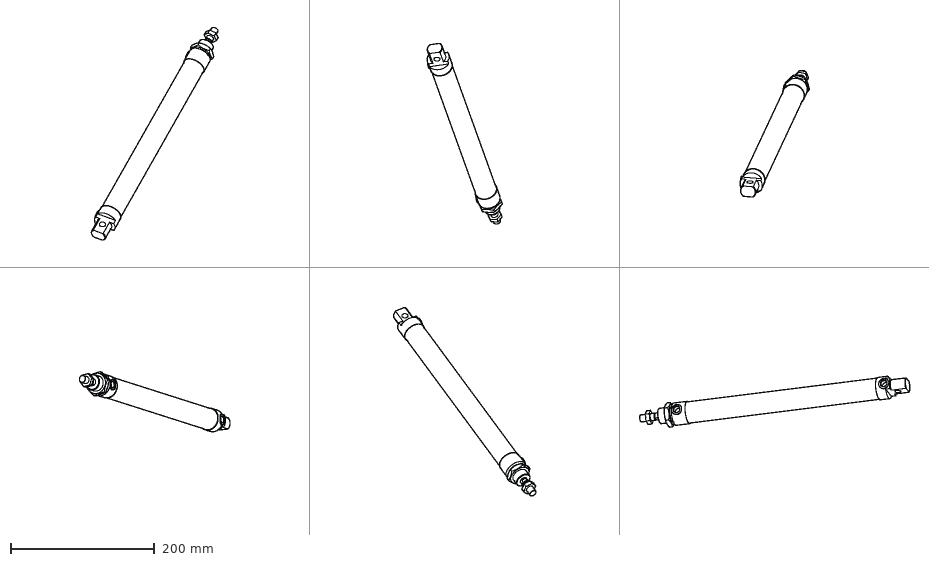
import cadquery as cq
import math


rod_tip_y = 390.0
thread_end_y = 369.0
collar_front_y = 362.0
front_cap_y = 340.0
barrel_front_y = 320.0
barrel_rear_y = 42.0
cap_flat_y = 28.0
rear_cap_y = 22.0

cap_dia = 31.5
barrel_dia = 30.0
collar_dia = 22.0
collar_chamfer = 0.8

eye_thickness = 16.0
eye_end_chamfer = 0.8
pin_hole_dia = 8.0
pin_hole_y = 14.5

port_boss_dia = 15.0
port_mouth_dia = 10.0
port_dia = 8.5
port_depth = 7.8
port_ys = (332.3, 30.0)

rod_dia = 10.0
rod_tip_chamfer = 0.5
groove_dia = 8.5
groove_length = 1.0
rod_flat_width = 8.0
rod_flat_turn = 8.5
flat_rear_y = 363.5
rod_socket_depth = 19.5

rod_nut_width = 16.8
rod_nut_turn = rod_flat_turn
rod_nut_rear_y = 374.5
rod_nut_thickness = 6.0
mount_nut_width = 30.0
mount_nut_face_dia = 29.0
mount_nut_turn = 12.5
mount_nut_chamfer_angle = 30.0
mount_nut_rear_y = 343.5
mount_nut_thickness = 7.5


def cylinder(diameter, y_start, y_end):
    """Cylinder on the Y axis between two stations."""
    plane = cq.Workplane("XZ", origin=(0, y_end, 0))
    return plane.circle(diameter / 2).extrude(y_end - y_start)


def side_cylinder(diameter, x_start, x_end, y):
    """Cylinder along X, centred at station y."""
    return cq.Workplane("YZ", origin=(x_start, y, 0)).circle(diameter / 2).extrude(x_end - x_start)


def make_plain_nut(width, bore_dia, y_rear, thickness, turn):
    """Hex nut on the Y axis, turned about it by the given angle."""
    y_front = y_rear + thickness
    corner_dia = width / math.cos(math.pi / 6)
    hexagon = cq.Workplane("XZ", origin=(0, y_front, 0)).polygon(6, corner_dia).extrude(thickness)
    return hexagon.cut(cylinder(bore_dia, y_rear, y_front)).rotate((0, 0, 0), (0, 1, 0), turn)


def make_rod_nut():
    """Lock nut on the rod thread."""
    return make_plain_nut(rod_nut_width, rod_dia, rod_nut_rear_y, rod_nut_thickness, rod_nut_turn)


def make_mount_nut():
    """Mounting nut on the collar, its corners chamfered on both faces."""
    y_rear = mount_nut_rear_y
    y_front = y_rear + mount_nut_thickness
    face_radius = mount_nut_face_dia / 2
    corner_radius = mount_nut_width / 2 / math.cos(math.pi / 6)
    rise = (corner_radius - face_radius) * math.tan(math.radians(mount_nut_chamfer_angle))
    chamfer_envelope = (
        cq.Workplane("XY")
        .moveTo(0, y_rear)
        .lineTo(face_radius, y_rear)
        .lineTo(corner_radius, y_rear + rise)
        .lineTo(corner_radius, y_front - rise)
        .lineTo(face_radius, y_front)
        .lineTo(0, y_front)
        .close()
        .revolve(360, (0, 0, 0), (0, 1, 0))
    )
    nut = make_plain_nut(mount_nut_width, collar_dia, y_rear, mount_nut_thickness, mount_nut_turn)
    return nut.intersect(chamfer_envelope)


def make_rear_end():
    """Rear cap flattened above and below, with the narrower pierced eye behind it."""
    cap = cylinder(cap_dia, rear_cap_y, barrel_rear_y)
    eye = cylinder(collar_dia, 0, rear_cap_y).faces("<Y").chamfer(eye_end_chamfer)
    eye_slab = cq.Workplane("XY").box(cap_dia, cap_flat_y, eye_thickness, centered=(True, False, True))
    full_section = cylinder(cap_dia, cap_flat_y, barrel_rear_y)
    pin_hole = (
        cq.Workplane("XY", origin=(0, pin_hole_y, 0))
        .circle(pin_hole_dia / 2)
        .extrude(eye_thickness, both=True)
    )
    return cap.union(eye).intersect(eye_slab.union(full_section)).cut(pin_hole)


def make_collar():
    """Front collar that carries the mounting nut."""
    return cylinder(collar_dia, front_cap_y, collar_front_y).faces(">Y").chamfer(collar_chamfer)


def add_port(body, y):
    """Flat round boss reaching the cap's outermost line, with a countersunk blind port."""
    face_x = -cap_dia / 2
    mouth_radius = port_mouth_dia / 2
    sink_depth = mouth_radius - port_dia / 2
    sink = cq.Workplane(
        cq.Solid.makeCone(
            mouth_radius, port_dia / 2, sink_depth, pnt=cq.Vector(face_x, y, 0), dir=cq.Vector(1, 0, 0)
        )
    )
    bore = side_cylinder(port_dia, face_x, face_x + port_depth, y)
    return body.union(side_cylinder(port_boss_dia, face_x, 0, y)).cut(sink).cut(bore)


def make_housing():
    """Barrel, both end caps, collar and rear eye in one piece, with a socket for the rod."""
    body = (
        cylinder(barrel_dia, barrel_rear_y, barrel_front_y)
        .union(cylinder(cap_dia, barrel_front_y, front_cap_y))
        .union(make_collar())
        .union(make_rear_end())
    )
    for y in port_ys:
        body = add_port(body, y)
    return body.cut(cylinder(rod_dia, collar_front_y - rod_socket_depth, collar_front_y))


def make_rod():
    """Piston rod with a relief groove behind its thread and a pair of wrench flats."""
    rod = cylinder(rod_dia, collar_front_y - rod_socket_depth, rod_tip_y)
    rod = rod.faces(">Y").chamfer(rod_tip_chamfer)
    groove_rear_y = thread_end_y - groove_length
    groove = cylinder(cap_dia, groove_rear_y, thread_end_y).cut(
        cylinder(groove_dia, groove_rear_y, thread_end_y)
    )
    flat_slab = cq.Workplane("XY", origin=(0, flat_rear_y, 0)).box(
        cap_dia, groove_rear_y - flat_rear_y, rod_flat_width, centered=(True, False, True)
    )
    flat_slab = flat_slab.rotate((0, 0, 0), (0, 1, 0), rod_flat_turn)
    flats = cylinder(rod_dia, flat_rear_y, groove_rear_y).cut(flat_slab)
    return rod.cut(groove).cut(flats)


housing = make_housing()
rod = make_rod()
rod_nut = make_rod_nut()
mount_nut = make_mount_nut()

result = cq.Compound.makeCompound([housing.val(), rod.val(), rod_nut.val(), mount_nut.val()])